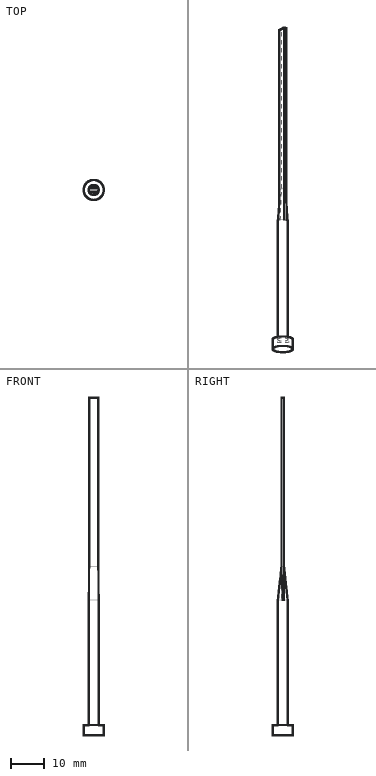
import cadquery as cq

TOTAL_LENGTH = 100.0
HEAD_DIAMETER = 6.0
HEAD_HEIGHT = 3.0
SHAFT_DIAMETER = 3.0
BLADE_WIDTH = 2.8
BLADE_THICKNESS = 0.8
BLADE_LENGTH = 50.0
TRANSITION_LENGTH = 10.0

BLADE_START = TOTAL_LENGTH - BLADE_LENGTH
SHAFT_TOP = BLADE_START - TRANSITION_LENGTH


def make_head():
    """Round head at the foot of the pin."""
    return cq.Workplane("XY").circle(HEAD_DIAMETER / 2).extrude(HEAD_HEIGHT)


def make_shaft():
    """Cylindrical shaft standing on the head."""
    return (
        cq.Workplane("XY", origin=(0, 0, HEAD_HEIGHT))
        .circle(SHAFT_DIAMETER / 2)
        .extrude(SHAFT_TOP - HEAD_HEIGHT)
    )


def make_transition():
    """Loft from the round shaft to the rectangular blade."""
    return (
        cq.Workplane("XY", origin=(0, 0, SHAFT_TOP))
        .circle(SHAFT_DIAMETER / 2)
        .workplane(offset=TRANSITION_LENGTH)
        .rect(BLADE_WIDTH, BLADE_THICKNESS)
        .loft(ruled=True)
    )


def make_blade():
    """Flat rectangular blade, wide along X and thin along Y."""
    return (
        cq.Workplane("XY", origin=(0, 0, BLADE_START))
        .rect(BLADE_WIDTH, BLADE_THICKNESS)
        .extrude(BLADE_LENGTH)
    )


result = make_head().union(make_shaft()).union(make_transition()).union(make_blade())